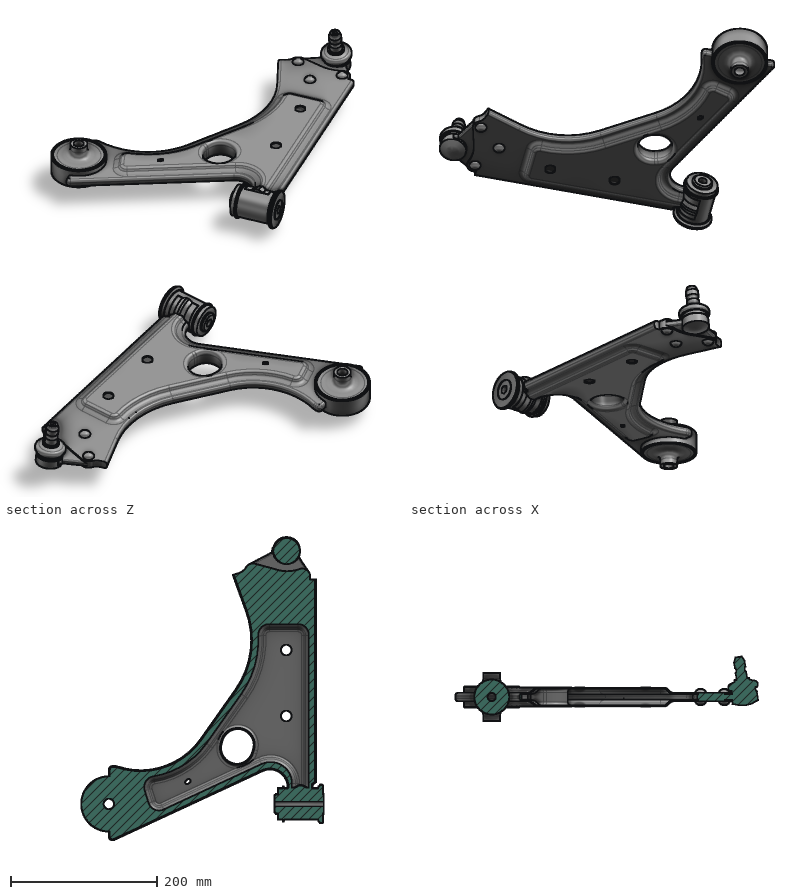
import cadquery as cq
import math


SHEET = 2.0
RIM_HALF = 5.95
PANEL_HALF = 13.2
RIM_ROUND = 4.0

INNER_SLOPE = math.radians(54.8)
TIP_SLOPE = math.radians(111.0)
UPPER_BEND_RADIUS = 117.0
INNER_STRAIGHT = 82.6
LOWER_BEND_RADIUS = 100.2
LOWER_BEND_CENTRE = (43.5, 146.4)
UPPER_BEND_CENTRE = (
    LOWER_BEND_CENTRE[0]
    + INNER_STRAIGHT * math.cos(INNER_SLOPE)
    + (LOWER_BEND_RADIUS - UPPER_BEND_RADIUS) * math.sin(INNER_SLOPE),
    LOWER_BEND_CENTRE[1]
    + INNER_STRAIGHT * math.sin(INNER_SLOPE)
    - (LOWER_BEND_RADIUS - UPPER_BEND_RADIUS) * math.cos(INNER_SLOPE),
)
TIP_CORNER = (169.3, 313.1)
EAR_RADIUS = 11.0
EAR_LEFT = (196.9, 317.9)
EAR_RIGHT = (264.3, 310.9)
EAR_RIGHT_ARC = (40.0, 102.0)
EAR_LEFT_ARC = (74.0, 115.0, 156.0)
TIP_NOTCH_START = (178.0, 315.8)
TIP_NOTCH_MIDDLE = (182.6, 318.2)
JOINT_RELIEF_MIDDLE = (243.7, 318.3)
HEEL_TOP_X = 10.0
STRAIGHT_SLOPE = math.radians(24.9)
ARCH_CENTRE = (220.2, 23.1)
ARCH_RADIUS = 24.0
OUTER_SIDE_X = 283.3
OUTER_SIDE_TOP = 306.9
OUTER_SIDE_BOTTOM = 30.0
NECK_LEFT_X = ARCH_CENTRE[0] + ARCH_RADIUS
NECK_RIGHT_X = 278.6
NECK_SHOULDER = 26.0
NECK_END = 5.0
HEEL_ROUND = 5.0
HEEL_BEND = 12.0

PANEL_INSET = 10.05
PANEL_TOP_EDGE = 245.7
PANEL_END = (48.0, 34.0)
PANEL_END_SLOPE = math.radians(-77.0)
PANEL_END_LEAN = 4.0
PANEL_ARCH_CENTRE = (221.0, 28.0)
PANEL_ARCH_RADIUS = 19.4
PANEL_CORNER = 14.0
WALL_SLOPE = math.radians(45.0)
FOOT_ROUND = 10.5
CREST_ROUND = 6.5

ROUNDED_TO = 304.0
ROUNDING_GAP = 0.2
GROUND_SIZE = 900.0
TOLERANCE = 0.01
CLEARANCE = 1.0

PLAIN_HOLES = [(242.5, 210.4), (242.5, 120.2)]
PLAIN_HOLE_RADIUS = 7.1
DRAIN_CENTRE = (108.0, 30.6)
DRAIN_LENGTH = 8.0
DRAIN_WIDTH = 5.0
DRAIN_ANGLE = 40.0
WINDOW_CENTRE = (175.6, 78.7)
WINDOW_RADIUS = 21.3
WINDOW_STRETCH = 4.3
WINDOW_ANGLE = 74.0
LIP_ROUND = 6.5

REAR_RIVET = (227.0, 285.6)
RIVETS = [EAR_LEFT, EAR_RIGHT, REAR_RIVET]
RIVET_RADIUS = 7.8
RIVET_DOME = 5.4
PLATE_HALF = RIM_HALF - SHEET
PLATE_ROUND = 2.0
PLATE_LEFT_ARC = (-130.0, 175.0, 120.0)
PLATE_RIGHT_ARC = (42.0, 0.0, -50.0)
PLATE_REAR_ARC = (-50.0, -90.0, -130.0)
PLATE_LEFT_SHOULDER = (222.4, 343.7)
PLATE_LEFT_TIP = (223.8, 350.2)
PLATE_FRONT_Y = 351.0
PLATE_FRONT_RIGHT_X = 252.0
PLATE_RIGHT_SHOULDER = (263.8, 331.2)
JOINT_X = 243.0
JOINT_Y = 345.71
JOINT_TILT = 8.6
SOCKET_FLATS = 6.0
SOCKET_DEPTH = 6.0
STUD_TOP = 55.48
STUD_RADIUS = 8.7
STUD_TIP_RADIUS = 6.2
STUD_TAPER_START = 48.8
STUD_TAPER_RADIUS = 7.0
STUD_TAPER_END = 53.4
STUD_GROOVE_RADIUS = 7.3
STUD_GROOVE_BOTTOM = 34.0
STUD_GROOVE_TOP = 41.0
HOUSING_RADIUS = 18.4
HOUSING_BASE = -11.9
HOUSING_BULGE = (10.0, -10.4)
HOUSING_WALL_BOTTOM = -7.2
HOUSING_WALL_TOP = 5.0
BOOT_SEAT_RADIUS = 17.2
BOOT_SEAT_BOTTOM = 6.5
BOOT_BOTTOM = 11.0
BOOT_BOTTOM_RADIUS = 19.5
BOOT_BULGE = (21.3, 15.5)
BOOT_SHOULDER = (16.5, 20.8)
BOOT_COLLAR_RADIUS = 11.3
BOOT_COLLAR_BOTTOM = 22.8
BOOT_TOP = 25.0

BUSH_RADIUS = 38.0
BUSH_HALF = 14.5
BUSH_EDGE = 1.0
BUSH_WALL_RADIUS = 35.0
BUSH_RUBBER_HALF = 13.5
BUSH_RUBBER_RADIUS = 30.0
BUSH_RUBBER_SWELL = (20.0, 14.7)
BUSH_RUBBER_TOP = 25.5
BUSH_TUBE_RADIUS = 11.65
BUSH_TUBE_HALF = 33.0
BUSH_BORE_RADIUS = 7.0

SLEEVE_RADIUS = 21.9
LIP_START = 231.0
BEAD_START = 237.4
BEAD_TOP_END = 238.8
SLEEVE_START = 240.2
SLEEVE_END = 286.0
FLARE_END = 289.0
FLANGE_BEVEL_START = 291.0
FLANGE_END = 292.8
BEAD_RADIUS = 24.1
FLARE_RADIUS = 23.4
FLANGE_RADIUS = 26.7
FLANGE_BEVEL = 1.2
STRAP_RADIUS = 22.7
STRAP_RIB_RADIUS = 26.0
STRAP_RIB_FOOT = (254.0, 271.0)
STRAP_RIB_CREST = (260.0, 264.0)
STRAP_OVERLAP = 1.0
PIVOT_START = 226.2
PIVOT_END = 293.93
PIVOT_TUBE_RADIUS = 13.9
PIVOT_BORE_RADIUS = 5.5
PIVOT_CHAMFER = 2.2


def polar(centre, radius, angle):
    return (centre[0] + radius * math.cos(angle), centre[1] + radius * math.sin(angle))


def crossing(p, p_angle, q, q_angle):
    """Point where the line through p meets the line through q."""
    det = math.sin(q_angle - p_angle)
    along = ((q[0] - p[0]) * math.sin(q_angle) - (q[1] - p[1]) * math.cos(q_angle)) / det
    return polar(p, along, p_angle)


def on_circle_at_x(centre, radius, x):
    """Lower point of the circle at the given x."""
    return (x, centre[1] - math.sqrt(radius**2 - (x - centre[0]) ** 2))


def ear_point(ear, degrees):
    """Point on the rounded edge of the metal around a rivet."""
    return polar(ear, EAR_RADIUS, math.radians(degrees))


def arm_outline():
    quarter = math.pi / 2
    arch_start = polar(ARCH_CENTRE, ARCH_RADIUS, STRAIGHT_SLOPE + quarter)
    arch_top = polar(ARCH_CENTRE, ARCH_RADIUS, quarter)
    arch_end = polar(ARCH_CENTRE, ARCH_RADIUS, 0)
    heel = crossing(arch_start, STRAIGHT_SLOPE, (0, 0), quarter)
    upper_mid = (INNER_SLOPE + TIP_SLOPE) / 2 - quarter
    heel_top = on_circle_at_x(LOWER_BEND_CENTRE, LOWER_BEND_RADIUS, HEEL_TOP_X)
    lower_end = INNER_SLOPE - quarter
    ear_drop = EAR_RIGHT[1] - OUTER_SIDE_TOP
    ear_end = ear_point(EAR_RIGHT, EAR_RIGHT_ARC[1])
    relief_end = (2 * JOINT_RELIEF_MIDDLE[0] - ear_end[0], ear_end[1])
    left_ear = [ear_point(EAR_LEFT, angle) for angle in EAR_LEFT_ARC]
    return (
        cq.Workplane("XY")
        .moveTo(*heel)
        .lineTo(*arch_start)
        .threePointArc(arch_top, arch_end)
        .lineTo(NECK_LEFT_X, NECK_END)
        .lineTo(NECK_RIGHT_X, NECK_END)
        .lineTo(NECK_RIGHT_X, NECK_SHOULDER)
        .lineTo(OUTER_SIDE_X, OUTER_SIDE_BOTTOM)
        .lineTo(OUTER_SIDE_X, OUTER_SIDE_TOP)
        .lineTo(EAR_RIGHT[0] + math.sqrt(EAR_RADIUS**2 - ear_drop**2), OUTER_SIDE_TOP)
        .threePointArc(ear_point(EAR_RIGHT, EAR_RIGHT_ARC[0]), ear_end)
        .threePointArc(JOINT_RELIEF_MIDDLE, relief_end)
        .lineTo(*left_ear[0])
        .threePointArc(left_ear[1], left_ear[2])
        .threePointArc(TIP_NOTCH_MIDDLE, TIP_NOTCH_START)
        .lineTo(*TIP_CORNER)
        .lineTo(*polar(UPPER_BEND_CENTRE, UPPER_BEND_RADIUS, TIP_SLOPE - quarter))
        .threePointArc(
            polar(UPPER_BEND_CENTRE, UPPER_BEND_RADIUS, upper_mid),
            polar(UPPER_BEND_CENTRE, UPPER_BEND_RADIUS, INNER_SLOPE - quarter),
        )
        .lineTo(*polar(LOWER_BEND_CENTRE, LOWER_BEND_RADIUS, lower_end))
        .threePointArc(polar(LOWER_BEND_CENTRE, LOWER_BEND_RADIUS, -quarter), heel_top)
        .lineTo(0, heel_top[1])
        .close()
    )


def mirrored(upper):
    """The upper half together with its mirror image below the mid-plane."""
    return upper.union(upper.mirror("XY"))


def rim_blank(depth):
    """Arm outline moved inward by `depth`, with the rim's outer edge rounded."""
    ceiling = PANEL_HALF + CLEARANCE
    rim_top = RIM_HALF - depth
    edge_round = RIM_ROUND - depth
    outline = arm_outline()
    if depth:
        outline = outline.offset2D(-depth)
    prism = outline.extrude(ceiling).edges("|Z and <X").fillet(HEEL_ROUND - depth)
    heel_top = on_circle_at_x(LOWER_BEND_CENTRE, LOWER_BEND_RADIUS, HEEL_TOP_X)
    heel_bend = cq.selectors.NearestToPointSelector((*heel_top, ceiling / 2))
    prism = prism.edges(heel_bend).fillet(HEEL_BEND)
    above_rim = cq.Workplane("XY").workplane(offset=rim_top).rect(GROUND_SIZE, GROUND_SIZE).extrude(ceiling)
    rim = prism.cut(above_rim)
    neck_end = NECK_END + depth
    top_edges = [e for e in rim.faces(">Z").edges().vals() if e.Center().y < ROUNDED_TO]
    rounded_edges = [e for e in top_edges if abs(e.Center().y - neck_end) > TOLERANCE]
    rim = rim.newObject(rounded_edges).fillet(edge_round)
    core = arm_outline().offset2D(-(RIM_ROUND + ROUNDING_GAP)).extrude(ceiling)
    return rim.union(core)


def panel_prism(inset, height):
    """Tapered block of the raised panel, standing on z = 0 with its foot at the given inset."""
    quarter = math.pi / 2
    extra = inset - PANEL_INSET
    top = PANEL_TOP_EDGE - extra
    right = OUTER_SIDE_X - inset
    end_point = polar(PANEL_END, extra, PANEL_END_SLOPE + quarter)
    upper_radius = UPPER_BEND_RADIUS + inset
    lower_radius = LOWER_BEND_RADIUS + inset
    arch_radius = PANEL_ARCH_RADIUS + inset
    arch_start = polar(PANEL_ARCH_CENTRE, arch_radius, STRAIGHT_SLOPE + quarter)
    upper_start_angle = math.asin((top - UPPER_BEND_CENTRE[1]) / upper_radius)
    end_x = end_point[0] - PANEL_END_LEAN
    lower_stop = on_circle_at_x(LOWER_BEND_CENTRE, lower_radius, end_x)
    lower_mid = on_circle_at_x(LOWER_BEND_CENTRE, lower_radius, LOWER_BEND_CENTRE[0] + lower_radius / 2)
    heel = crossing(arch_start, STRAIGHT_SLOPE, end_point, PANEL_END_SLOPE)
    wire = (
        cq.Workplane("XY")
        .moveTo(*heel)
        .lineTo(*arch_start)
        .threePointArc(
            polar(PANEL_ARCH_CENTRE, arch_radius, math.pi / 4),
            polar(PANEL_ARCH_CENTRE, arch_radius, 0),
        )
        .lineTo(PANEL_ARCH_CENTRE[0] + arch_radius, NECK_END)
        .lineTo(right, NECK_END)
        .lineTo(right, top)
        .lineTo(*polar(UPPER_BEND_CENTRE, upper_radius, upper_start_angle))
        .threePointArc(
            polar(UPPER_BEND_CENTRE, upper_radius, 0),
            polar(UPPER_BEND_CENTRE, upper_radius, INNER_SLOPE - quarter),
        )
        .lineTo(*polar(LOWER_BEND_CENTRE, lower_radius, INNER_SLOPE - quarter))
        .threePointArc(lower_mid, lower_stop)
        .close()
        .wire()
        .val()
    )
    corners = cq.Workplane(wire).vertices().vals()
    corner_zone = end_point[0] + 2 * PANEL_CORNER
    rounded = [v for v in corners if v.Y > top - TOLERANCE or v.X < corner_zone]
    face = cq.Face.makeFromWires(wire).fillet2D(PANEL_CORNER, rounded)
    taper = 90 - math.degrees(WALL_SLOPE)
    rise = cq.Vector(0, 0, height)
    return cq.Workplane("XY").add(cq.Solid.extrudeLinear(face.outerWire(), [], rise, taper))


def pressed_half(depth):
    """Upper half of the space inside the surface lying `depth` below the shell's outer skin."""
    rim_top = RIM_HALF - depth
    inset = PANEL_INSET + depth * math.tan(WALL_SLOPE / 2)
    panel = panel_prism(inset, PANEL_HALF - RIM_HALF)
    panel = panel.faces(">Z").edges("not(<Y)").fillet(CREST_ROUND - depth)
    ground = cq.Workplane("XY").rect(GROUND_SIZE, GROUND_SIZE).extrude(rim_top)
    pressing = ground.union(panel.translate((0, 0, rim_top)))
    low_corner = (-BUSH_RADIUS, -GROUND_SIZE / 4, rim_top - TOLERANCE)
    high_corner = (GROUND_SIZE / 2 - CLEARANCE, GROUND_SIZE / 2 - CLEARANCE, rim_top + TOLERANCE)
    foot = cq.selectors.BoxSelector(low_corner, high_corner, True)
    pressing = pressing.edges(foot).fillet(FOOT_ROUND + depth)
    return pressing.intersect(rim_blank(depth))


def window_prism(radius, height):
    return (
        cq.Workplane("XY")
        .center(*WINDOW_CENTRE)
        .slot2D(2 * radius + WINDOW_STRETCH, 2 * radius, WINDOW_ANGLE)
        .extrude(height)
    )


def window_cutter(depth):
    """Upper half of the flared window, grown by `depth` into the metal around it."""
    top = PANEL_HALF - depth
    mouth = WINDOW_RADIUS + LIP_ROUND
    lip = window_prism(mouth, top).cut(window_prism(WINDOW_RADIUS + depth, top))
    lip = lip.faces(">Z").wires(cq.selectors.LengthNthSelector(0)).fillet(LIP_ROUND - depth - TOLERANCE)
    return window_prism(mouth, PANEL_HALF + CLEARANCE).cut(lip)


def through_holes():
    height = 2 * (PANEL_HALF + CLEARANCE)
    plane = cq.Workplane("XY").workplane(offset=-height / 2)
    round_holes = plane.pushPoints(PLAIN_HOLES).circle(PLAIN_HOLE_RADIUS).extrude(height)
    drain = plane.center(*DRAIN_CENTRE).slot2D(DRAIN_LENGTH, DRAIN_WIDTH, DRAIN_ANGLE).extrude(height)
    return round_holes.union(drain)


def shell():
    skin = pressed_half(0).cut(window_cutter(0))
    cavity = pressed_half(SHEET).cut(window_cutter(SHEET))
    return mirrored(skin.cut(cavity)).cut(through_holes())


def carrier_plate():
    """Plate between the sheets that carries the ball joint."""
    left = [ear_point(EAR_LEFT, angle) for angle in PLATE_LEFT_ARC]
    right = [ear_point(EAR_RIGHT, angle) for angle in PLATE_RIGHT_ARC]
    rear = [ear_point(REAR_RIVET, angle) for angle in PLATE_REAR_ARC]
    outline = (
        cq.Workplane("XY")
        .moveTo(*left[2])
        .lineTo(*PLATE_LEFT_SHOULDER)
        .lineTo(*PLATE_LEFT_TIP)
        .lineTo(JOINT_X, PLATE_FRONT_Y)
        .lineTo(PLATE_FRONT_RIGHT_X, PLATE_FRONT_Y)
        .lineTo(*PLATE_RIGHT_SHOULDER)
        .lineTo(*right[0])
        .threePointArc(right[1], right[2])
        .lineTo(*rear[0])
        .threePointArc(rear[1], rear[2])
        .lineTo(*left[0])
        .threePointArc(left[1], left[2])
        .close()
    )
    plate = outline.extrude(PLATE_HALF, both=True)
    return plate.faces("<Z or >Z").edges().fillet(PLATE_ROUND)


def rivets():
    dome_top = RIM_HALF + RIVET_DOME
    profile = (
        cq.Workplane("XZ")
        .lineTo(RIVET_RADIUS, 0)
        .lineTo(RIVET_RADIUS, RIM_HALF)
        .threePointArc(dome_midpoint(), (0, dome_top))
        .close()
    )
    rivet = mirrored(profile.revolve(360, (0, 0, 0), (0, 1, 0)))
    group = cq.Workplane("XY")
    for x, y in RIVETS:
        group = group.union(rivet.translate((x, y, 0)))
    return group


def dome_midpoint():
    """A point halfway along the spherical cap of a rivet head."""
    ball = (RIVET_RADIUS**2 + RIVET_DOME**2) / (2 * RIVET_DOME)
    half_angle = math.asin(RIVET_RADIUS / ball) / 2
    centre_z = RIM_HALF + RIVET_DOME - ball
    return (ball * math.sin(half_angle), centre_z + ball * math.cos(half_angle))


def ball_joint():
    """Housing, dust boot and stud turned about one tilted axis."""
    groove_middle = (STUD_GROOVE_BOTTOM + STUD_GROOVE_TOP) / 2
    turned = (
        cq.Workplane("XZ")
        .moveTo(0, HOUSING_BASE)
        .threePointArc(HOUSING_BULGE, (HOUSING_RADIUS, HOUSING_WALL_BOTTOM))
        .lineTo(HOUSING_RADIUS, HOUSING_WALL_TOP)
        .lineTo(BOOT_SEAT_RADIUS, BOOT_SEAT_BOTTOM)
        .lineTo(BOOT_SEAT_RADIUS, BOOT_BOTTOM)
        .lineTo(BOOT_BOTTOM_RADIUS, BOOT_BOTTOM)
        .threePointArc(BOOT_BULGE, BOOT_SHOULDER)
        .lineTo(BOOT_COLLAR_RADIUS, BOOT_COLLAR_BOTTOM)
        .lineTo(BOOT_COLLAR_RADIUS, BOOT_TOP)
        .lineTo(STUD_RADIUS, BOOT_TOP)
        .lineTo(STUD_RADIUS, STUD_GROOVE_BOTTOM)
        .threePointArc((STUD_GROOVE_RADIUS, groove_middle), (STUD_RADIUS, STUD_GROOVE_TOP))
        .lineTo(STUD_RADIUS, STUD_TAPER_START)
        .lineTo(STUD_TAPER_RADIUS, STUD_TAPER_END)
        .lineTo(STUD_TIP_RADIUS, STUD_TOP)
        .lineTo(0, STUD_TOP)
        .close()
        .revolve(360, (0, 0, 0), (0, 1, 0))
    )
    socket = (
        cq.Workplane("XY")
        .workplane(offset=STUD_TOP - SOCKET_DEPTH)
        .polygon(6, SOCKET_FLATS / math.cos(math.pi / 6))
        .extrude(2 * SOCKET_DEPTH)
    )
    upright = turned.cut(socket)
    return upright.rotate((0, 0, 0), (1, 0, 0), JOINT_TILT).translate((JOINT_X, JOINT_Y, 0))


def vertical_bush():
    ring = cq.Workplane("XY").circle(BUSH_RADIUS).extrude(BUSH_HALF)
    ring = ring.faces(">Z").edges().chamfer(BUSH_EDGE)
    well = cq.Workplane("XY").workplane(offset=BUSH_RUBBER_HALF).circle(BUSH_WALL_RADIUS).extrude(BUSH_HALF)
    swell = [BUSH_RUBBER_SWELL, (BUSH_TUBE_RADIUS, BUSH_RUBBER_TOP)]
    tube = (
        cq.Workplane("XZ")
        .lineTo(BUSH_RUBBER_RADIUS, 0)
        .lineTo(BUSH_RUBBER_RADIUS, BUSH_RUBBER_HALF)
        .spline(swell, tangents=[(-1, 0), (0, 1)], includeCurrent=True)
        .lineTo(BUSH_TUBE_RADIUS, BUSH_TUBE_HALF)
        .lineTo(0, BUSH_TUBE_HALF)
        .close()
        .revolve(360, (0, 0, 0), (0, 1, 0))
    )
    return mirrored(ring.cut(well).union(tube))


def bush_bore():
    return cq.Workplane("XY").circle(BUSH_BORE_RADIUS).extrude(BUSH_TUBE_HALF, both=True)


def horizontal_bush():
    return (
        cq.Workplane("XY")
        .moveTo(PIVOT_START, PIVOT_BORE_RADIUS)
        .lineTo(PIVOT_START, PIVOT_TUBE_RADIUS - PIVOT_CHAMFER)
        .lineTo(PIVOT_START + PIVOT_CHAMFER, PIVOT_TUBE_RADIUS)
        .lineTo(LIP_START, PIVOT_TUBE_RADIUS)
        .lineTo(LIP_START, SLEEVE_RADIUS)
        .lineTo(BEAD_START, SLEEVE_RADIUS)
        .lineTo(BEAD_START, BEAD_RADIUS)
        .lineTo(BEAD_TOP_END, BEAD_RADIUS)
        .lineTo(SLEEVE_START, SLEEVE_RADIUS)
        .lineTo(SLEEVE_END, SLEEVE_RADIUS)
        .lineTo(SLEEVE_END, FLARE_RADIUS)
        .lineTo(FLARE_END, FLANGE_RADIUS)
        .lineTo(FLANGE_BEVEL_START, FLANGE_RADIUS)
        .lineTo(FLANGE_END, FLANGE_RADIUS - FLANGE_BEVEL)
        .lineTo(FLANGE_END, PIVOT_TUBE_RADIUS)
        .lineTo(PIVOT_END, PIVOT_TUBE_RADIUS)
        .lineTo(PIVOT_END, PIVOT_BORE_RADIUS)
        .close()
        .revolve(360, (0, 0, 0), (1, 0, 0))
    )


def neck_strap():
    """End of the arm wrapped over the half of the sleeve that faces the arm."""
    return (
        cq.Workplane("XY")
        .moveTo(NECK_LEFT_X, SLEEVE_RADIUS - STRAP_OVERLAP)
        .lineTo(NECK_LEFT_X, STRAP_RADIUS)
        .lineTo(STRAP_RIB_FOOT[0], STRAP_RADIUS)
        .lineTo(STRAP_RIB_CREST[0], STRAP_RIB_RADIUS)
        .lineTo(STRAP_RIB_CREST[1], STRAP_RIB_RADIUS)
        .lineTo(STRAP_RIB_FOOT[1], STRAP_RADIUS)
        .lineTo(NECK_RIGHT_X, STRAP_RADIUS)
        .lineTo(NECK_RIGHT_X, SLEEVE_RADIUS - STRAP_OVERLAP)
        .close()
        .revolve(180, (0, 0, 0), (1, 0, 0))
        .rotate((0, 0, 0), (1, 0, 0), -90)
    )


result = (
    shell()
    .union(carrier_plate())
    .union(rivets())
    .union(ball_joint())
    .union(vertical_bush())
    .cut(bush_bore())
    .union(neck_strap())
    .union(horizontal_bush())
)